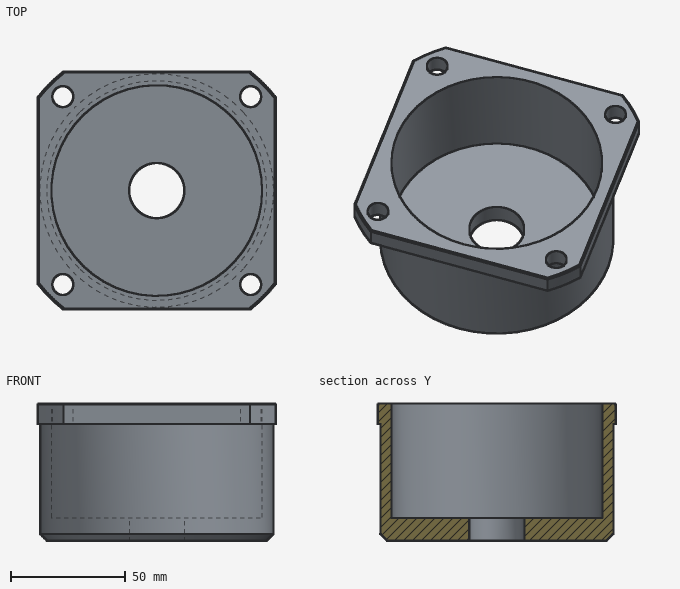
import cadquery as cq

flange_side = 104.0
total_height = 60.0
flange_thickness = 9.0
flange_corner_diameter = 132.1
flange_top_chamfer = 0.5

cup_diameter = 102.0
cup_bottom_chamfer = 3.0
bore_diameter = 92.0
bore_depth = 50.0
floor_hole_diameter = 24.0

bolt_hole_diameter = 9.0
bolt_hole_spacing = 82.1


def make_cup():
    """Round body standing on z = 0 with a bevelled bottom edge."""
    cup = cq.Workplane("XY").circle(cup_diameter / 2).extrude(total_height)
    return cup.faces("<Z").chamfer(cup_bottom_chamfer)


def make_flange():
    """Square plate with its corners turned round about the cup axis, flush with the top of the cup."""
    underside = cq.Workplane("XY").workplane(offset=total_height - flange_thickness)
    square = underside.rect(flange_side, flange_side).extrude(flange_thickness)
    disc = underside.circle(flange_corner_diameter / 2).extrude(flange_thickness)
    plate = square.intersect(disc)
    return plate.faces(">Z").chamfer(flange_top_chamfer)


def drill_openings(body):
    """Cut the bore, the central floor hole and the four bolt holes."""
    top = cq.Workplane("XY").workplane(offset=total_height)
    bore = top.circle(bore_diameter / 2).extrude(-bore_depth)
    floor_hole = top.circle(floor_hole_diameter / 2).extrude(-total_height)
    bolt_holes = (
        top.rect(bolt_hole_spacing, bolt_hole_spacing, forConstruction=True)
        .vertices()
        .circle(bolt_hole_diameter / 2)
        .extrude(-flange_thickness)
    )
    return body.cut(bore).cut(floor_hole).cut(bolt_holes)


result = drill_openings(make_cup().union(make_flange()))